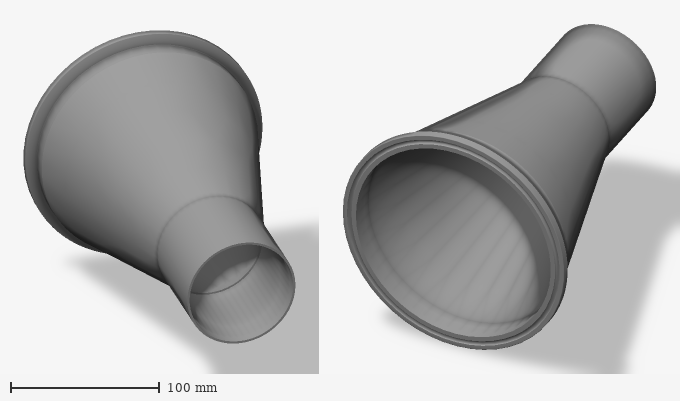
import cadquery as cq

TOTAL_LENGTH = 228.5
FERRULE_LENGTH = 19.0
CONE_END = 158.5

FLANGE_DIAMETER = 166.9
RIM_THICKNESS = 5.5
TAPER_END = 8.2
RIM_FILLET = 0.5
NECK_FILLET = 0.7

GROOVE_DIAMETER = 156.8
GROOVE_WIDTH = 3.5
GROOVE_DEPTH = 1.4

LARGE_DIAMETER = 152.5
LARGE_BORE = 146.8
SMALL_DIAMETER = 76.1
TUBE_BORE = 73.0

CONE_WALL = (LARGE_DIAMETER - LARGE_BORE) / 2
CONE_SMALL_BORE = SMALL_DIAMETER - 2 * CONE_WALL


def revolve_about_x(profile):
    """Close a profile drawn in X and radius and revolve it about the X axis."""
    return profile.close().revolve(360, (0, 0, 0), (1, 0, 0))


def make_gasket_groove():
    """Ring to cut from the flange face."""
    middle = GROOVE_DIAMETER / 2
    half_width = GROOVE_WIDTH / 2
    profile = (
        cq.Workplane("XY")
        .moveTo(0, middle - half_width)
        .threePointArc((GROOVE_DEPTH, middle), (0, middle + half_width))
    )
    return revolve_about_x(profile)


def make_ferrule():
    """Clamp flange with a tapered back and a short straight neck."""
    profile = cq.Workplane("XY").polyline([
        (0, LARGE_BORE / 2),
        (0, FLANGE_DIAMETER / 2),
        (RIM_THICKNESS, FLANGE_DIAMETER / 2),
        (TAPER_END, LARGE_DIAMETER / 2),
        (FERRULE_LENGTH, LARGE_DIAMETER / 2),
        (FERRULE_LENGTH, LARGE_BORE / 2),
    ])
    body = revolve_about_x(profile)

    largest_circles = cq.selectors.RadiusNthSelector(-1)
    body = body.edges("%CIRCLE").edges(largest_circles).fillet(RIM_FILLET)

    neck_corner = cq.selectors.NearestToPointSelector((TAPER_END, 0, 0))
    body = body.edges("%CIRCLE").edges(neck_corner).fillet(NECK_FILLET)

    return body.cut(make_gasket_groove())


def make_reducer():
    """Conical shell that runs into a straight, thinner-walled tube."""
    profile = cq.Workplane("XY").polyline([
        (FERRULE_LENGTH, LARGE_BORE / 2),
        (FERRULE_LENGTH, LARGE_DIAMETER / 2),
        (CONE_END, SMALL_DIAMETER / 2),
        (TOTAL_LENGTH, SMALL_DIAMETER / 2),
        (TOTAL_LENGTH, TUBE_BORE / 2),
        (CONE_END, TUBE_BORE / 2),
        (CONE_END, CONE_SMALL_BORE / 2),
    ])
    return revolve_about_x(profile)


ferrule = make_ferrule()
reducer = make_reducer()

result = cq.Compound.makeCompound([ferrule.solids().val(), reducer.solids().val()])